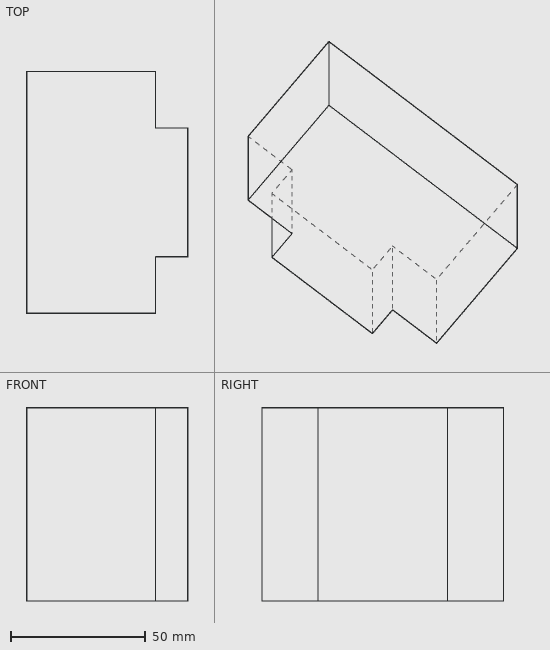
import cadquery as cq

height = 72.0
body_depth = 48.0
body_width = 90.0
tongue_depth = 12.0
tongue_width = 48.0


def make_body():
    """Main rectangular block, with its -X face on X = 0 and its base on Z = 0."""
    return cq.Workplane("XY").box(body_depth, body_width, height, centered=(False, True, False))


def make_tongue():
    """Full-height tongue centred on the +X face of the body."""
    return (
        cq.Workplane("XY", origin=(body_depth, 0, 0))
        .box(tongue_depth, tongue_width, height, centered=(False, True, False))
    )


result = make_body().union(make_tongue(), clean=True)